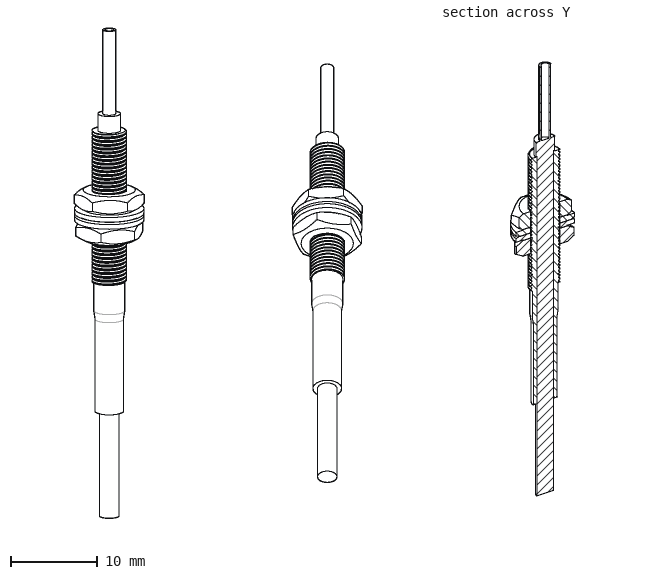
import cadquery as cq
import math

cable_exit_z = 12.5
taper_bottom_z = 23.5
taper_top_z = 24.5
thread_bottom_z = 28.0
thread_top_z = 46.0
collar_top_z = 48.0
probe_top_z = 58.0

cable_dia = 2.25
collar_dia = 2.6
probe_dia = 1.5
probe_bore_dia = 1.0

thread_dia = 4.0
thread_pitch = 0.45
turns_per_segment = 4
segment_height = turns_per_segment * thread_pitch
crest_width = thread_pitch / 4
groove_overshoot = 0.02
shank_dia = 3.6
thread_depth = (thread_dia - shank_dia) / 2
sleeve_dia = 3.3

hexagon_sides = 6
nut_width = 7.0
nut_height = 2.2
nut_face_dia = 6.0
nut_chamfer_angle = 30
lower_nut_turn = -3.0
upper_nut_turn = -18.0
lower_nut_z = 33.1
washer_dia = 8.0
washer_thickness = 0.7
washer_bevel_width = 0.45
washer_bevel_height = 0.15

lower_washer_z = lower_nut_z + nut_height
upper_washer_z = lower_washer_z + washer_thickness
upper_nut_z = upper_washer_z + washer_thickness


def cylinder(diameter, bottom_z, top_z):
    """Solid cylinder on the Z axis."""
    return cq.Workplane("XY").workplane(offset=bottom_z).circle(diameter / 2).extrude(top_z - bottom_z)


def make_core():
    """Cable running through the housing, topped by a collar and a blind-bored probe tube."""
    cable = cylinder(cable_dia, 0, thread_top_z)
    collar = cylinder(collar_dia, thread_top_z, collar_top_z)
    probe = cylinder(probe_dia, collar_top_z, probe_top_z)
    bore = cylinder(probe_bore_dia, collar_top_z, probe_top_z)
    return cable.union(collar).union(probe).cut(bore)


def make_thread_groove(bottom_z, top_z):
    """Right-handed V groove wound between two heights."""
    outer_radius = thread_dia / 2 + groove_overshoot
    root_radius = thread_dia / 2 - thread_depth
    flank_slope = (thread_pitch - crest_width) / 2 / thread_depth
    half_mouth = flank_slope * (outer_radius - root_radius)
    path = cq.Wire.makeHelix(thread_pitch, top_z - bottom_z, root_radius, cq.Vector(0, 0, bottom_z))
    profile = cq.Workplane("XZ").polyline([
        (root_radius, bottom_z),
        (outer_radius, bottom_z + half_mouth),
        (outer_radius, bottom_z - half_mouth),
    ]).close()
    return profile.sweep(cq.Workplane(obj=path), isFrenet=True)


def make_thread_segment():
    """Short length of thread standing on the base plane, trimmed from an overlong blank.

    A whole number of turns lets equal segments stack into one continuous thread.
    """
    run_out = 2 * thread_pitch
    blank = cylinder(thread_dia, -run_out, segment_height + run_out)
    groove = make_thread_groove(-thread_pitch, segment_height + thread_pitch)
    keep = cylinder(2 * thread_dia, 0, segment_height)
    return blank.cut(groove).intersect(keep)


def make_threaded_stem():
    """Threaded length of the housing, fused from stacked segments."""
    segment = make_thread_segment().val()
    segment_count = round((thread_top_z - thread_bottom_z) / segment_height)
    segments = [
        segment.translate(cq.Vector(0, 0, thread_bottom_z + index * segment_height))
        for index in range(segment_count)
    ]
    return cq.Workplane(obj=segments[0].fuse(*segments[1:]))


def make_housing():
    """Plain sleeve that widens through a taper into the shank and the threaded stem, bored for the cable."""
    plain_part = cq.Workplane("XZ").polyline([
        (0, cable_exit_z),
        (sleeve_dia / 2, cable_exit_z),
        (sleeve_dia / 2, taper_bottom_z),
        (shank_dia / 2, taper_top_z),
        (shank_dia / 2, thread_bottom_z),
        (0, thread_bottom_z),
    ]).close().revolve(360, (0, 0), (0, 1))
    cable_bore = cylinder(cable_dia, cable_exit_z, thread_top_z)
    return plain_part.union(make_threaded_stem(), clean=False).cut(cable_bore, clean=False)


def make_nut(bottom_z, turn):
    """Hexagon nut with its corners chamfered on both faces."""
    corner_dia = nut_width / math.cos(math.pi / hexagon_sides)
    corner_radius = corner_dia / 2
    face_radius = nut_face_dia / 2
    chamfer_drop = (corner_radius - face_radius) * math.tan(math.radians(nut_chamfer_angle))
    hexagon = cq.Workplane("XY").polygon(hexagon_sides, corner_dia).extrude(nut_height)
    envelope = cq.Workplane("XZ").polyline([
        (0, 0),
        (face_radius, 0),
        (corner_radius, chamfer_drop),
        (corner_radius, nut_height - chamfer_drop),
        (face_radius, nut_height),
        (0, nut_height),
    ]).close().revolve(360, (0, 0), (0, 1))
    nut = hexagon.intersect(envelope).cut(cylinder(thread_dia, 0, nut_height))
    return nut.rotate((0, 0, 0), (0, 0, 1), turn).translate((0, 0, bottom_z))


def make_washer(outer_z, mating_z):
    """Washer whose rim is bevelled on the side that meets its twin, leaving a V groove between them."""
    toward_twin = math.copysign(1, mating_z - outer_z)
    rim_end_z = mating_z - toward_twin * washer_bevel_height
    bore_radius = thread_dia / 2
    rim_radius = washer_dia / 2
    return cq.Workplane("XZ").polyline([
        (bore_radius, outer_z),
        (rim_radius, outer_z),
        (rim_radius, rim_end_z),
        (rim_radius - washer_bevel_width, mating_z),
        (bore_radius, mating_z),
    ]).close().revolve(360, (0, 0), (0, 1))


core = make_core()
housing = make_housing()
nuts = [make_nut(z, turn) for z, turn in ((lower_nut_z, lower_nut_turn), (upper_nut_z, upper_nut_turn))]
washers = [make_washer(outer_z, upper_washer_z) for outer_z in (lower_washer_z, upper_nut_z)]

result = cq.Compound.makeCompound([
    core.val(),
    housing.val(),
    *[nut.val() for nut in nuts],
    *[washer.val() for washer in washers],
])